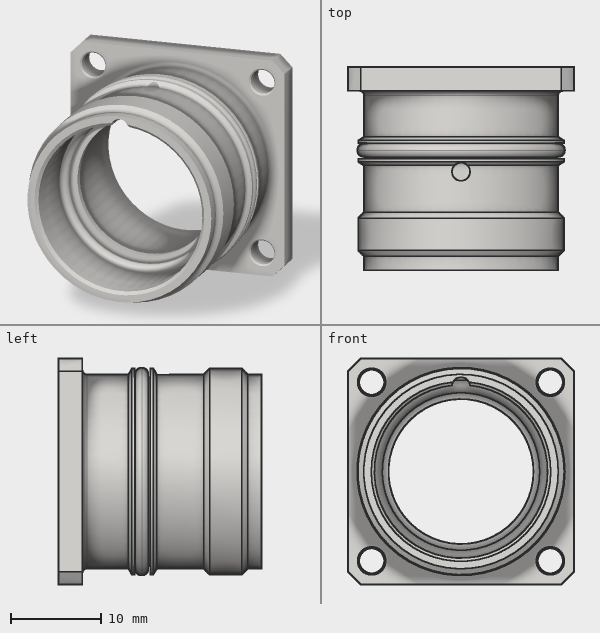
import cadquery as cq
import math

length = 22.5
rear_y = length / 2

flange_side = 25.0
flange_thickness = 2.68
corner_chamfer = 1.4
mount_hole_radius = 1.38
mount_hole_offset = 9.88
mount_hole_chamfer = 0.18

tube_radius = 10.75
collar_radius = 11.4
collar_rise = collar_radius - tube_radius
root_fillet = 0.48
rear_collar_start = 7.75
front_collar_end = 10.9
collar_taper = 0.4
ridge_start = 16.08
ridge_end = 20.95

groove_start = 8.45
groove_end = 10.15
groove_radius = 10.45
outer_seal_depth = 9.22
outer_seal_radius = 10.75
outer_seal_section = 0.75

mouth_radius = 9.92
socket_radius = 9.58
mouth_chamfer = mouth_radius - socket_radius
lip_radius = 8.0
lip_front = 13.45
lip_back = 12.7
rear_bore_radius = 9.0
inner_seal_radius = 9.4
inner_seal_depth = 14.35
inner_seal_section = 0.7

key_radius = 1.0
keyway_height = 9.42
flat_spot_depth = 11.6
flat_spot_height = 10.7
flat_spot_radius = key_radius
cut_clearance = 0.25


def revolve_about_axis(profile):
    return profile.close().revolve(360, (0, 0, 0), (0, 1, 0))


def at(radius, depth):
    return (radius, rear_y - depth)


def make_flange():
    plate = cq.Workplane("XZ", origin=(0, rear_y, 0)).rect(flange_side, flange_side).extrude(flange_thickness)
    return plate.edges("|Y").chamfer(corner_chamfer)


def make_tube():
    fillet_end = flange_thickness + root_fillet
    fillet_middle = root_fillet * (1 - math.cos(math.pi / 4))
    profile = (
        cq.Workplane("XY")
        .moveTo(*at(rear_bore_radius, 0))
        .lineTo(*at(tube_radius + root_fillet, 0))
        .lineTo(*at(tube_radius + root_fillet, flange_thickness))
        .threePointArc(
            at(tube_radius + fillet_middle, flange_thickness + fillet_middle),
            at(tube_radius, fillet_end),
        )
        .lineTo(*at(tube_radius, rear_collar_start))
        .lineTo(*at(collar_radius, rear_collar_start + collar_taper))
        .lineTo(*at(collar_radius, groove_start))
        .lineTo(*at(groove_radius, groove_start))
        .lineTo(*at(groove_radius, groove_end))
        .lineTo(*at(collar_radius, groove_end))
        .lineTo(*at(collar_radius, front_collar_end - collar_taper))
        .lineTo(*at(tube_radius, front_collar_end))
        .lineTo(*at(tube_radius, ridge_start))
        .lineTo(*at(collar_radius, ridge_start + collar_rise))
        .lineTo(*at(collar_radius, ridge_end - collar_rise))
        .lineTo(*at(tube_radius, ridge_end))
        .lineTo(*at(tube_radius, length))
        .lineTo(*at(mouth_radius, length))
        .lineTo(*at(socket_radius, length - mouth_chamfer))
        .lineTo(*at(socket_radius, lip_front))
        .lineTo(*at(lip_radius, lip_front))
        .lineTo(*at(lip_radius, lip_back))
        .lineTo(*at(rear_bore_radius, lip_back))
    )
    return revolve_about_axis(profile)


def make_seal_ring(ring_radius, depth, section_radius):
    section = cq.Workplane("XY").center(*at(ring_radius, depth)).circle(section_radius)
    return section.revolve(360, (-ring_radius, 0, 0), (-ring_radius, 1, 0))


def make_rear_bore():
    return cq.Workplane("XZ", origin=(0, rear_y, 0)).circle(rear_bore_radius).extrude(lip_back)


def make_keyway():
    start_y = rear_y - lip_front
    return (
        cq.Workplane("XZ", origin=(0, start_y, keyway_height))
        .circle(key_radius)
        .extrude(length - lip_front)
    )


def make_flat_spot():
    cut_height = collar_radius - flat_spot_height + cut_clearance
    center = (0, rear_y - flat_spot_depth, flat_spot_height)
    return cq.Workplane("XY", origin=center).circle(flat_spot_radius).extrude(cut_height)


def make_mount_holes():
    front_y = rear_y - flange_thickness
    chamfer_radius = mount_hole_radius + mount_hole_chamfer
    profile = (
        cq.Workplane("XY")
        .moveTo(0, rear_y)
        .lineTo(mount_hole_radius, rear_y)
        .lineTo(mount_hole_radius, front_y + mount_hole_chamfer)
        .lineTo(chamfer_radius, front_y)
        .lineTo(0, front_y)
    )
    hole = revolve_about_axis(profile)
    holes = cq.Workplane("XY")
    for x_side in (-1, 1):
        for z_side in (-1, 1):
            holes = holes.add(hole.translate((x_side * mount_hole_offset, 0, z_side * mount_hole_offset)))
    return holes.combine()


result = (
    make_flange()
    .cut(make_rear_bore())
    .union(make_tube())
    .cut(make_keyway())
    .cut(make_flat_spot())
    .cut(make_mount_holes())
    .union(make_seal_ring(outer_seal_radius, outer_seal_depth, outer_seal_section))
    .union(make_seal_ring(inner_seal_radius, inner_seal_depth, inner_seal_section))
)